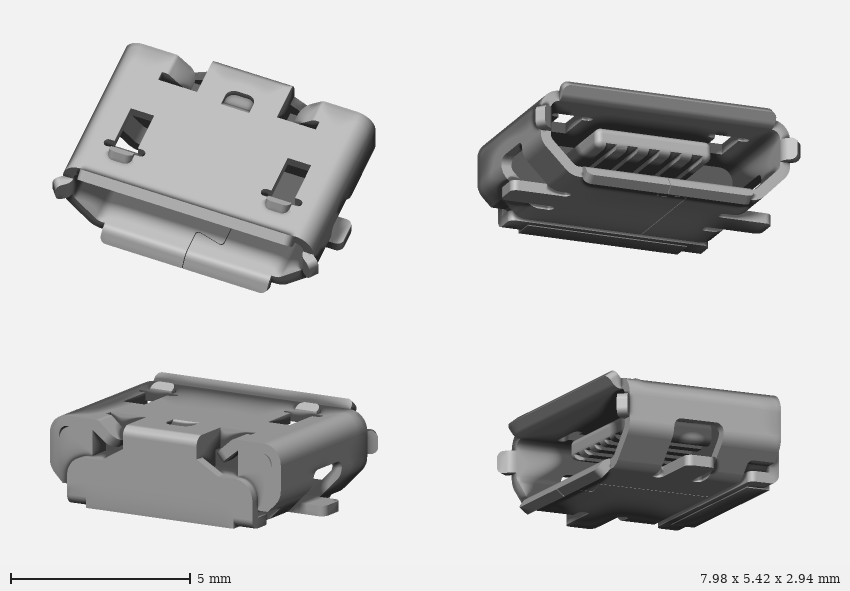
import cadquery as cq
import math

SHEET = 0.3
SHELL_W = 7.5
SHELL_H = 2.46
SHELL_L = 4.69
BEND_R = 0.56
FLANK_ANGLE = 45.0
LOWER_BEND_Z = 1.16

LIP_ANGLE = 52.0
LIP_BEND_R = 0.015
LIP_STRAIGHT = 0.295
LIP_CORNER_R = 0.19
TOP_LIP_W = 6.4
BOTTOM_LIP_W = 4.995
SIDE_LIP_W = 0.64
SIDE_LIP_Z = 1.56

WINDOW_Y0, WINDOW_Y1 = 1.38, 2.91
WINDOW_TOP = 1.36
WINDOW_R = 0.24
WINDOW_INNER_X = 2.235
LEG_Y0, LEG_Y1 = 1.7, 2.61
LEG_TIP_X = 3.92
LEG_CORNER_R = 0.2

SLOT_X = 2.355
SLOT_W = 0.7
SLOT_Y0, SLOT_Y1 = 1.0, 2.47
RELIEF_LEN = 1.23
RELIEF_W = 0.25
LATCH_ANGLE = 31.0
LATCH_LEN = 0.3
LATCH_RISE = 0.07
LATCH_CORNER_R = 0.19

NOTCH_X0, NOTCH_X1 = 1.2, 2.36
NOTCH_Y0 = 3.69
TAB_Y0 = 3.975
TAB_ROOT_X = 2.25
TAB_TIP_X = 1.54
TAB_ANGLE = 41.0
TAB_BEND_R = 0.17
TAB_REAR_R = 0.36
TAB_FRONT_R = 0.08

CATCH_W = 0.845
CATCH_Y0, CATCH_Y1 = 3.535, 4.12
CATCH_HOLE_R = 0.255
CATCH_RUN = 0.215
CATCH_DROP = 0.18

SEAM_GAP = 0.02
SEAM_STEP_X = 0.86
SEAM_CORNER_R = 0.095
SEAM_KNEE_Y, SEAM_HOOK_Y = 0.69, 0.45

FLOOR_CUT_Y = 3.895
FLOOR_CUT_Z = 0.51
FLOOR_CUT_R = 0.13

PLATE_HALF_W = 3.01
PLATE_SHOULDER_Z = 1.405
PLATE_SHOULDER_X0, PLATE_SHOULDER_X1 = 1.9, 2.44
PLATE_NECK_Z = 1.81
PLATE_BEND_R = 0.28
FOOT_Y = 4.09
FOOT_CORNER_R = 0.2

INSULATOR_Y = 3.51
INSULATOR_R = 0.4
CHANNEL_W = 1.005
CHANNEL_Z = 1.875
PAD_W = 4.79
PAD_Y = 4.29
PAD_DROP = 0.028
SPIGOT_Y = 4.04
SPIGOT_Z = 0.135
BASE_Z = 0.24

TONGUE_W = 3.495
TONGUE_Z0, TONGUE_Z1 = 1.27, 1.87
TONGUE_Y = 0.8
TONGUE_R = 0.19
GROOVE_COUNT = 5
GROOVE_PITCH = 0.65
GROOVE_W = 0.33
GROOVE_DEPTH = 0.135

ROOF_INNER = SHELL_H - SHEET
PLATE_REAR = SHELL_L + SHEET
HALF_ROOT_2 = math.sqrt(0.5)


def box(x0, x1, y0, y1, z0, z1):
    return cq.Workplane("XY").box(x1 - x0, y1 - y0, z1 - z0, centered=False).translate((x0, y0, z0))


def both_sides(body):
    return body.union(body.mirror("YZ"))


def along_y(sketch, y0, y1):
    """Extrude an XZ outline from y0 to y1."""
    return sketch.extrude(y0 - y1).translate((0, y0, 0))


def unit(angle):
    return math.cos(math.radians(angle)), math.sin(math.radians(angle))


def shell_outline(inset):
    """Cross-section of the shell, moved inwards by inset."""
    side = SHELL_W / 2 - inset
    roof = SHELL_H - inset
    floor = inset
    r = BEND_R - inset
    c, s = unit(FLANK_ANGLE)
    ch, sh = unit(FLANK_ANGLE / 2)
    lower_z = LOWER_BEND_Z - r * s
    upper_z = floor + r * (1 - c)
    flank_x0 = side - r * (1 - c)
    flank_x1 = flank_x0 - (lower_z - upper_z) * c / s
    floor_x = flank_x1 - r * s
    shoulder = side - r
    half = (
        cq.Workplane("XZ").moveTo(0, roof).lineTo(shoulder, roof)
        .threePointArc((shoulder + r * HALF_ROOT_2, roof - r + r * HALF_ROOT_2), (side, roof - r))
        .lineTo(side, LOWER_BEND_Z)
        .threePointArc((shoulder + r * ch, LOWER_BEND_Z - r * sh), (flank_x0, lower_z))
        .lineTo(flank_x1, upper_z)
        .threePointArc((floor_x + r * sh, floor + r * (1 - ch)), (floor_x, floor))
        .lineTo(0, floor)
    )
    return half.mirrorY()


def make_lip(width):
    """Lip bending up from a horizontal sheet whose outer face ends at the origin."""
    c, s = unit(LIP_ANGLE)
    ch, sh = unit(LIP_ANGLE / 2)
    inner = LIP_BEND_R
    outer = LIP_BEND_R + SHEET
    lip = (
        cq.Workplane("YZ").moveTo(0, 0)
        .threePointArc((-inner * sh, inner * (1 - ch)), (-inner * s, inner * (1 - c)))
        .line(-LIP_STRAIGHT * c, LIP_STRAIGHT * s)
        .line(-SHEET * s, -SHEET * c)
        .line(LIP_STRAIGHT * c, -LIP_STRAIGHT * s)
        .threePointArc((-outer * sh, inner - outer * ch), (0, -SHEET))
        .close().extrude(width / 2, both=True)
    )
    across_sheet = cq.selectors.ParallelDirSelector(cq.Vector(0, s, c))
    return lip.edges(across_sheet).fillet(LIP_CORNER_R)


def add_lips(body):
    about_y = ((0, 0, 0), (0, 1, 0))
    side_lip = make_lip(SIDE_LIP_W).rotate(*about_y, 90).translate((SHELL_W / 2, 0, SIDE_LIP_Z))
    body = body.union(make_lip(TOP_LIP_W).translate((0, 0, SHELL_H)))
    body = body.union(make_lip(BOTTOM_LIP_W).rotate(*about_y, 180))
    return body.union(both_sides(side_lip))


def cut_windows_and_add_legs(body):
    gap = LEG_Y0 - WINDOW_Y0
    window = box(WINDOW_INNER_X, SHELL_W, WINDOW_Y0, WINDOW_Y1, -SHEET, WINDOW_TOP)
    window = window.edges("|X and >Z").fillet(WINDOW_R)
    leg = box(0, LEG_TIP_X, LEG_Y0, LEG_Y1, 0, SHEET).edges("|Z and >X").fillet(LEG_CORNER_R)
    root_x = WINDOW_INNER_X + gap / 2
    window = window.cut(box(0, root_x, WINDOW_Y0, WINDOW_Y1, -SHEET, SHEET))
    for middle in ((WINDOW_Y0 + LEG_Y0) / 2, (LEG_Y1 + WINDOW_Y1) / 2):
        slot_end = cq.Workplane("XY").center(root_x, middle).circle(gap / 2).extrude(SHEET)
        window = window.union(slot_end)
    window = window.cut(leg)
    leg = leg.cut(box(0, root_x, LEG_Y0, LEG_Y1, 0, SHEET))
    return body.cut(both_sides(window)).union(both_sides(leg))


def cut_roof_slots_and_add_latches(body):
    slot = box(SLOT_X - SLOT_W / 2, SLOT_X + SLOT_W / 2, SLOT_Y0, SLOT_Y1, ROOF_INNER, SHELL_H)
    relief = (
        cq.Workplane("XY", origin=(SLOT_X, SLOT_Y0 + RELIEF_W / 2, ROOF_INNER))
        .slot2D(RELIEF_LEN, RELIEF_W).extrude(SHEET)
    )
    body = body.cut(both_sides(slot.union(relief)))
    c, s = unit(LATCH_ANGLE)
    root_z = SHELL_H + LATCH_RISE
    tip_y = SLOT_Y0 - LATCH_LEN * c
    tip_z = root_z + LATCH_LEN * s
    latch = (
        cq.Workplane("YZ", origin=(SLOT_X, 0, 0)).moveTo(SLOT_Y0, ROOF_INNER).lineTo(SLOT_Y0, root_z)
        .lineTo(tip_y, tip_z).line(-SHEET * s, -SHEET * c).lineTo(SLOT_Y0, ROOF_INNER)
        .close().extrude(SLOT_W / 2, both=True)
    )
    latch = latch.edges(cq.selectors.ParallelDirSelector(cq.Vector(0, s, c))).fillet(LATCH_CORNER_R)
    return body.union(both_sides(latch))


def cut_floor_seam(body):
    """Joint in the floor: straight from the mouth, then a hooked step to one side."""
    left_part = (
        cq.Workplane("XY", origin=(0, 0, -SHELL_H))
        .polyline([
            (-SHELL_W, -SHELL_L), (0, -SHELL_L), (0, SEAM_KNEE_Y), (SEAM_STEP_X, SEAM_HOOK_Y),
            (SEAM_STEP_X, 2 * SHELL_L), (-SHELL_W, 2 * SHELL_L),
        ]).close().extrude(SHELL_H + SHEET)
    )
    for corner in ((0, SEAM_KNEE_Y), (SEAM_STEP_X, SEAM_HOOK_Y)):
        nearest = cq.selectors.NearestToPointSelector((*corner, 0))
        left_part = left_part.edges("|Z").edges(nearest).fillet(SEAM_CORNER_R)
    return body.cut(left_part.cut(left_part.translate((-SEAM_GAP, SEAM_GAP, 0))))


def make_shell():
    shell = along_y(shell_outline(0), 0, SHELL_L).cut(along_y(shell_outline(SHEET), 0, SHELL_L))
    floor_cut = box(-SHELL_W, SHELL_W, FLOOR_CUT_Y, SHELL_L, 0, FLOOR_CUT_Z)
    shell = shell.cut(floor_cut.edges("|X and >Z and <Y").fillet(FLOOR_CUT_R))
    shell = add_lips(shell)
    shell = cut_windows_and_add_legs(shell)
    shell = cut_roof_slots_and_add_latches(shell)
    return cut_floor_seam(shell)


def make_rear_plate():
    """Plate folded down from the roof, with a foot turned forwards at the bottom."""
    corner_r = PLATE_HALF_W - PLATE_SHOULDER_X1
    outline = (
        cq.Workplane("XZ").moveTo(0, 0).lineTo(PLATE_HALF_W, 0)
        .lineTo(PLATE_HALF_W, PLATE_SHOULDER_Z - corner_r)
        .threePointArc(
            (PLATE_SHOULDER_X1 + corner_r * HALF_ROOT_2, PLATE_SHOULDER_Z - corner_r * (1 - HALF_ROOT_2)),
            (PLATE_SHOULDER_X1, PLATE_SHOULDER_Z))
        .lineTo(PLATE_SHOULDER_X0, PLATE_SHOULDER_Z).lineTo(NOTCH_X0, PLATE_NECK_Z)
        .lineTo(NOTCH_X0, SHELL_H).lineTo(0, SHELL_H).mirrorY()
    )
    plate = along_y(outline, SHELL_L, PLATE_REAR)
    plate = plate.edges("|X and >Y and >Z").fillet(PLATE_BEND_R)
    plate = plate.edges("|X and >Y and <Z").fillet(PLATE_BEND_R)
    foot = box(-PLATE_HALF_W, PLATE_HALF_W, FOOT_Y, SHELL_L, 0, SHEET)
    return plate.union(foot.edges("|Z and <Y").fillet(FOOT_CORNER_R))


def make_tongue():
    tongue = box(-TONGUE_W / 2, TONGUE_W / 2, TONGUE_Y, INSULATOR_Y, TONGUE_Z0, TONGUE_Z1)
    tongue = tongue.edges("|Y").fillet(TONGUE_R).faces("<Y").edges().fillet(TONGUE_R)
    for i in range(GROOVE_COUNT):
        x = (i - (GROOVE_COUNT - 1) / 2) * GROOVE_PITCH
        tongue = tongue.cut(box(
            x - GROOVE_W / 2, x + GROOVE_W / 2, TONGUE_Y, INSULATOR_Y, TONGUE_Z0, TONGUE_Z0 + GROOVE_DEPTH))
    return tongue


def make_insulator():
    block = along_y(shell_outline(SHEET), INSULATOR_Y, SHELL_L)
    corner = SHELL_W / 2 - SHEET
    mid = INSULATOR_R * (1 - HALF_ROOT_2)
    roof_edge = (
        cq.Workplane("XZ").moveTo(corner, ROOF_INNER).lineTo(corner - INSULATOR_R, ROOF_INNER)
        .threePointArc((corner - mid, ROOF_INNER - mid), (corner, ROOF_INNER - INSULATOR_R)).close()
    )
    block = block.cut(both_sides(along_y(roof_edge, INSULATOR_Y, SHELL_L)))
    front_step = box(NOTCH_X0, NOTCH_X1, NOTCH_Y0, TAB_Y0, TONGUE_Z1, SHELL_H)
    rear_step = box(NOTCH_X0, NOTCH_X1, TAB_Y0, SHELL_L, PLATE_SHOULDER_Z, SHELL_H)
    block = block.cut(both_sides(front_step.union(rear_step)))
    block = block.cut(box(-CHANNEL_W / 2, CHANNEL_W / 2, INSULATOR_Y, CATCH_Y1, CHANNEL_Z, SHELL_H))
    half = PAD_W / 2
    block = block.union(box(-half, half, FLOOR_CUT_Y, SHELL_L, BASE_Z, SHEET))
    block = block.union(box(-half, half, SPIGOT_Y, SHELL_L, SPIGOT_Z, SHEET))
    block = block.union(box(-half, half, PAD_Y, PLATE_REAR, -PAD_DROP, SHEET))
    return block.union(make_tongue())


def make_rear_tab():
    """Tab bent down into the insulator from the outer edge of a roof notch."""
    c, s = unit(TAB_ANGLE)
    ch, sh = unit(TAB_ANGLE / 2)
    bend_x = TAB_ROOT_X - TAB_BEND_R * s
    bend_z = SHELL_H - TAB_BEND_R * (1 - c)
    run = bend_x - TAB_TIP_X
    tab = (
        cq.Workplane("XZ").moveTo(NOTCH_X1, SHELL_H).lineTo(TAB_ROOT_X, SHELL_H)
        .threePointArc((TAB_ROOT_X - TAB_BEND_R * sh, SHELL_H - TAB_BEND_R * (1 - ch)), (bend_x, bend_z))
        .line(-run, -run * s / c).line(SHEET * s, -SHEET * c)
        .lineTo(NOTCH_X1, ROOF_INNER).close()
    )
    tab = along_y(tab, TAB_Y0, SHELL_L)
    across_sheet = cq.selectors.ParallelDirSelector(cq.Vector(s, 0, -c))
    tab = tab.edges(across_sheet).edges("<Y").fillet(TAB_FRONT_R)
    return tab.edges(across_sheet).edges(">Y").fillet(TAB_REAR_R)


def make_catch():
    """Small tab stepped down below its roof opening, joined to the front edge."""
    ramp_y = CATCH_Y0 + CATCH_RUN
    shift = SHEET * math.tan(math.atan2(CATCH_DROP, CATCH_RUN) / 2)
    catch = (
        cq.Workplane("YZ")
        .polyline([
            (CATCH_Y0, SHELL_H), (ramp_y, SHELL_H - CATCH_DROP), (CATCH_Y1, SHELL_H - CATCH_DROP),
            (CATCH_Y1, ROOF_INNER - CATCH_DROP), (ramp_y - shift, ROOF_INNER - CATCH_DROP),
            (CATCH_Y0 - shift, ROOF_INNER), (CATCH_Y0 - shift, SHELL_H),
        ]).close().extrude(CATCH_W / 2, both=True)
    )
    return catch.edges("|Z and >Y").fillet(CATCH_HOLE_R)


def add_roof_details(shell):
    wide = box(NOTCH_X0, NOTCH_X1, NOTCH_Y0, TAB_Y0, ROOF_INNER, SHELL_H)
    narrow = box(NOTCH_X0, TAB_ROOT_X, TAB_Y0, SHELL_L, ROOF_INNER, SHELL_H)
    shell = shell.cut(both_sides(wide.union(narrow))).union(both_sides(make_rear_tab()))
    opening = box(-CATCH_W / 2, CATCH_W / 2, CATCH_Y0, CATCH_Y1, ROOF_INNER, SHELL_H)
    opening = opening.edges("|Z and >Y").fillet(CATCH_HOLE_R)
    return shell.cut(opening).union(make_catch())


result = add_roof_details(make_shell()).union(make_insulator()).union(make_rear_plate())